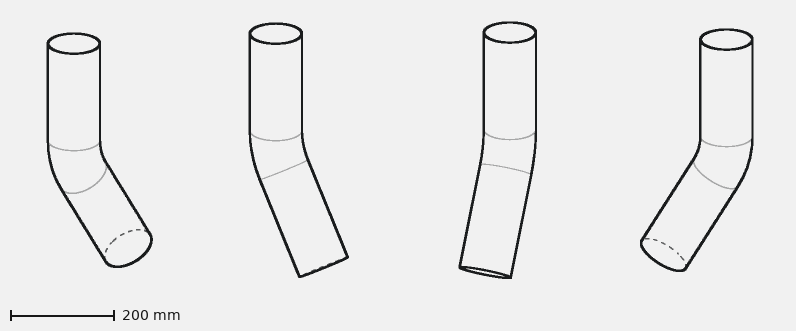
import cadquery as cq
import math

overall_height = 481.0
outer_diameter = 101.5
inner_diameter = 98.5
bend_radius = 152.5
bend_angle = 30.0

bend_sin = math.sin(math.radians(bend_angle))
bend_cos = math.cos(math.radians(bend_angle))
outer_wall_radius = bend_radius + outer_diameter / 2
leg_length = (overall_height - outer_wall_radius * bend_sin) / (1 + bend_cos)


def bend_point(angle):
    """Centreline point (y, z) after turning by angle, in degrees, towards +Y."""
    turn = math.radians(angle)
    return bend_radius * (1 - math.cos(turn)), -bend_radius * math.sin(turn)


bend_end_y, bend_end_z = bend_point(bend_angle)
lower_end = (bend_end_y + leg_length * bend_sin, bend_end_z - leg_length * bend_cos)
centreline = (
    cq.Workplane("YZ")
    .moveTo(0, leg_length)
    .lineTo(0, 0)
    .threePointArc(bend_point(bend_angle / 2), (bend_end_y, bend_end_z))
    .lineTo(*lower_end)
)

result = (
    cq.Workplane("XY", origin=(0, 0, leg_length))
    .circle(outer_diameter / 2)
    .circle(inner_diameter / 2)
    .sweep(centreline)
)